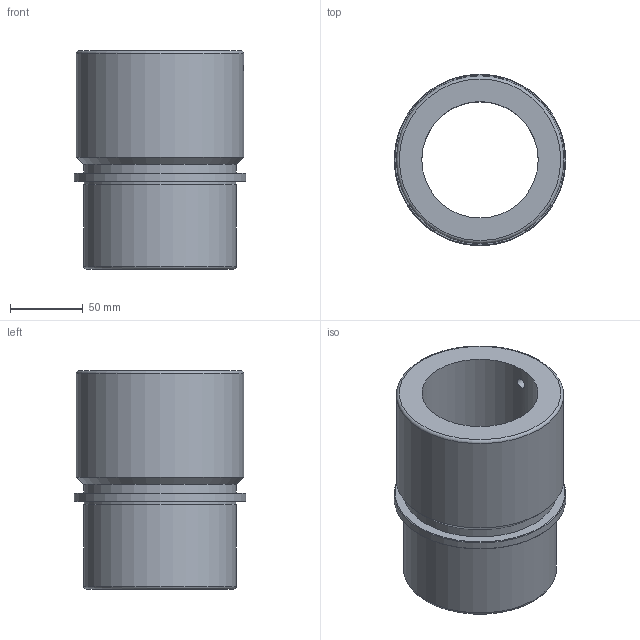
import cadquery as cq

TOTAL_LENGTH = 150.0
BORE_DIAMETER = 80.0
HEAD_DIAMETER = 115.0
SHANK_DIAMETER = 105.0
COLLAR_DIAMETER = 118.0

COLLAR_BOTTOM = 60.0
COLLAR_THICKNESS = 6.0
HEAD_BOTTOM = 72.0

HEAD_TOP_FILLET = 2.0
SHANK_BOTTOM_FILLET = 2.0
COLLAR_CHAMFER = 0.5

RELIEF_FLOOR_WIDTH = 1.5
RELIEF_DEPTH = 0.5

CROSS_HOLE_DIAMETER = 7.0
CROSS_HOLE_DROP = 12.0

HEAD_CONE_HEIGHT = (HEAD_DIAMETER - SHANK_DIAMETER) / 2


def make_cylinder(diameter, bottom, top):
    """Upright cylinder on the Z axis between two heights."""
    return cq.Workplane("XY").workplane(offset=bottom).circle(diameter / 2).extrude(top - bottom)


def make_shank():
    """Straight shank with a rounded bottom edge, reaching up to the head."""
    shank = make_cylinder(SHANK_DIAMETER, 0, HEAD_BOTTOM)
    return shank.faces("<Z").edges().fillet(SHANK_BOTTOM_FILLET)


def make_relief():
    """Ring to cut away just below the collar, with a 45 degree lower wall."""
    shank_radius = SHANK_DIAMETER / 2
    floor_radius = shank_radius - RELIEF_DEPTH
    floor_bottom = COLLAR_BOTTOM - RELIEF_FLOOR_WIDTH
    section = cq.Workplane("XZ").polyline([
        (floor_radius, COLLAR_BOTTOM),
        (floor_radius, floor_bottom),
        (shank_radius, floor_bottom - RELIEF_DEPTH),
        (shank_radius, COLLAR_BOTTOM),
    ])
    return section.close().revolve(360, (0, 0), (0, 1))


def make_collar():
    """Thin collar with both outer edges chamfered."""
    collar = make_cylinder(COLLAR_DIAMETER, COLLAR_BOTTOM, COLLAR_BOTTOM + COLLAR_THICKNESS)
    return collar.edges().chamfer(COLLAR_CHAMFER)


def make_head():
    """Larger upper cylinder with a conical underside and a rounded top edge."""
    head = make_cylinder(HEAD_DIAMETER, HEAD_BOTTOM, TOTAL_LENGTH)
    head = head.faces("<Z").edges().chamfer(HEAD_CONE_HEIGHT)
    return head.faces(">Z").edges().fillet(HEAD_TOP_FILLET)


def make_cross_hole():
    """Radial cylinder from the bore axis out through the +X wall."""
    return (
        cq.Workplane("YZ")
        .center(0, TOTAL_LENGTH - CROSS_HOLE_DROP)
        .circle(CROSS_HOLE_DIAMETER / 2)
        .extrude(HEAD_DIAMETER)
    )


body = make_shank().cut(make_relief()).union(make_collar()).union(make_head())
bore = make_cylinder(BORE_DIAMETER, 0, TOTAL_LENGTH)
result = body.cut(bore).cut(make_cross_hole())